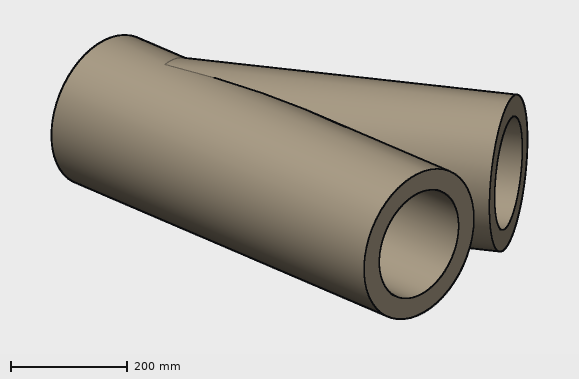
import cadquery as cq

outer_diameter = 273.0
bore_diameter = 197.0

main_length = 749.0

branch_start = 140.0
branch_angle = 30.0
branch_length = 611.0


def main_cylinder(diameter):
    return cq.Workplane("YZ").circle(diameter / 2).extrude(main_length)


def branch_cylinder(diameter):
    cylinder = cq.Workplane("YZ").circle(diameter / 2).extrude(branch_length)
    return cylinder.rotate((0, 0, 0), (0, 0, 1), branch_angle).translate((branch_start, 0, 0))


def wye(diameter):
    return main_cylinder(diameter).union(branch_cylinder(diameter))


result = wye(outer_diameter).cut(wye(bore_diameter))